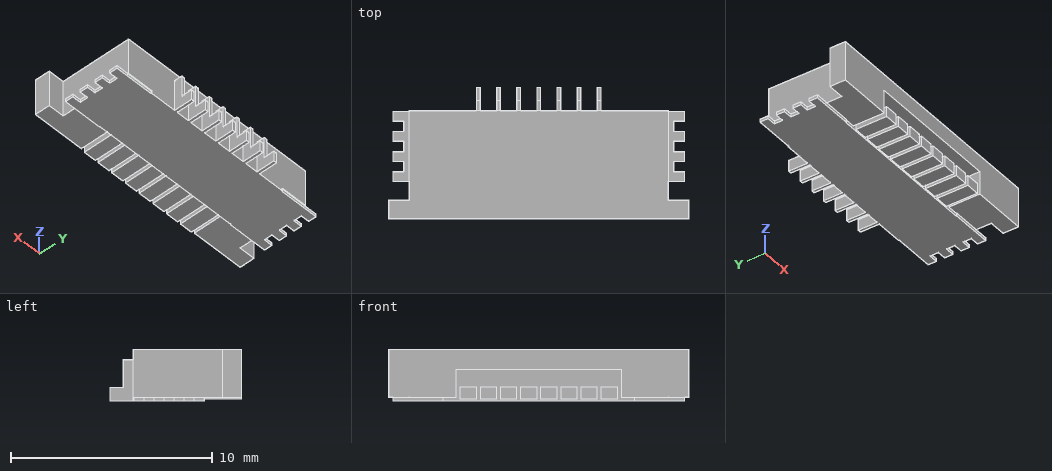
import cadquery as cq

contact_pitch = 1.0

flange_width = 14.92
flange_depth = 0.94
housing_width = 12.89
housing_back = 5.39
top_z = 2.57
underside_z = 0.18

mouth_width = 8.24
mouth_depth = 1.88
mouth_top_z = 1.57

floor_width = 9.52

tooth_count = 8
tooth_width = 0.8
tooth_bottom_z = 0.09
tooth_top_z = 0.7

pad_span = 14.5
pad_front = 1.85
finger_count = 4
finger_width = contact_pitch / 2
finger_length = 0.54

tail_count = 7
tail_width = 0.2
tail_shoulder_back = 5.88
tail_shoulder_z = 2.06
tail_foot_back = 6.53
tail_foot_z = 0.67


def block(x_center, width, y_front, y_back, z_bottom, z_top):
    """Box centred on x_center, spanning the given Y and Z limits."""
    return (
        cq.Workplane("XY")
        .box(width, y_back - y_front, z_top - z_bottom, centered=(True, False, False))
        .translate((x_center, y_front, z_bottom))
    )


def row_positions(count):
    """X centres of a row at the contact pitch, symmetric about X = 0."""
    return [(i - (count - 1) / 2) * contact_pitch for i in range(count)]


def make_housing():
    flange = block(0, flange_width, 0, flange_depth, underside_z, top_z)
    body = block(0, housing_width, 0, housing_back, underside_z, top_z)
    mouth = block(0, mouth_width, 0, mouth_depth, underside_z, mouth_top_z)
    floor = block(0, floor_width, mouth_depth, housing_back, 0, underside_z)
    return flange.union(body).cut(mouth).union(floor)


def make_tooth(x):
    return block(x, tooth_width, 0, mouth_depth, tooth_bottom_z, tooth_top_z)


def make_pad(side):
    """Comb on the side -1 (left) or +1 (right), attached to the floor block."""
    pad_back = pad_front + (2 * finger_count - 1) * finger_width
    pad_width = (pad_span - floor_width) / 2
    pad_center = side * (pad_span + floor_width) / 4
    notch_center = side * (pad_span - finger_length) / 2
    pad = block(pad_center, pad_width, pad_front, pad_back, 0, underside_z)
    for i in range(finger_count - 1):
        notch_front = pad_front + (2 * i + 1) * finger_width
        notch_back = notch_front + finger_width
        pad = pad.cut(block(notch_center, finger_length, notch_front, notch_back, 0, underside_z))
    return pad


def make_tail(x):
    shoulder = block(x, tail_width, housing_back, tail_shoulder_back, 0, tail_shoulder_z)
    foot = block(x, tail_width, housing_back, tail_foot_back, 0, tail_foot_z)
    return shoulder.union(foot)


result = make_housing()
for pad_side in (-1, 1):
    result = result.union(make_pad(pad_side))
for tooth_x in row_positions(tooth_count):
    result = result.union(make_tooth(tooth_x))
for tail_x in row_positions(tail_count):
    result = result.union(make_tail(tail_x))